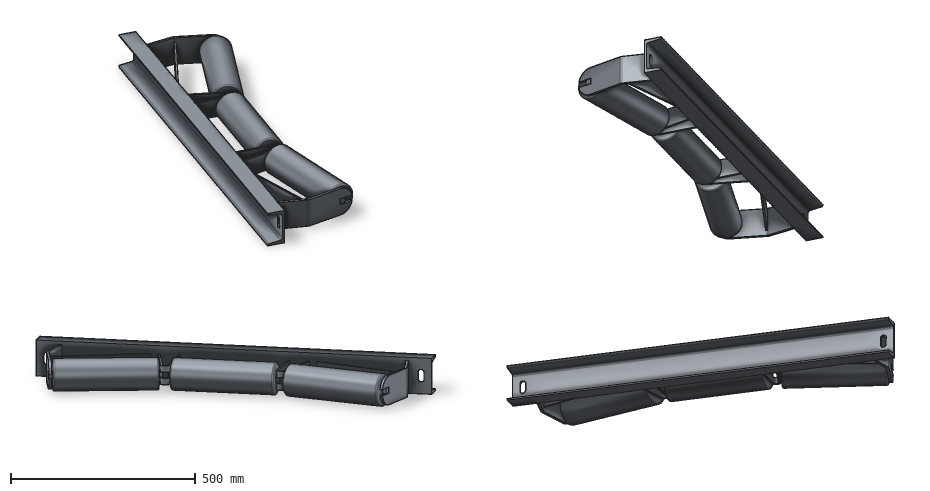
import cadquery as cq
import math


BEAM_LENGTH = 1100.0
BEAM_HEIGHT = 100.0
BEAM_DEPTH = 50.0
WEB_THICKNESS = 6.0
FLANGE_ROOT = 11.0
FLANGE_TIP = 5.0
ROOT_FILLET = 7.0
TIP_FILLET = 4.0
SLOT_X = 520.0
SLOT_LENGTH = 35.0
SLOT_WIDTH = 16.0

ROLLER_DIAMETER = 89.0
ROLLER_LENGTH = 288.0
TROUGH_ANGLE = 15.0
CENTRE_ROLLER_Y = 117.0
WING_ROLLER_X = 321.0
WING_ROLLER_Y = 161.0
SHAFT_SIZE = 16.0
DRUM_FILLET = 4.0
END_GAP = 4.0

OUTER_WIDTH = 81.0
INNER_WIDTH = 53.0
OUTER_PLATE = 8.0
INNER_PLATE = 6.0
INNER_TOP_Y = 143.0
OUTER_BEND_Y = 90.0
OUTER_LEAN = 10.0
BEND_RADIUS = 7.0
BRACE_WIDTH = 53.0
BRACE_PLATE = 5.0
BRACE_ANGLE = 20.0

SHAFT_LENGTH = ROLLER_LENGTH + 2 * (END_GAP + INNER_PLATE)
FACE_OFFSET = ROLLER_LENGTH / 2 + END_GAP
COS_T = math.cos(math.radians(TROUGH_ANGLE))
SIN_T = math.sin(math.radians(TROUGH_ANGLE))


def wing_point(along, across):
    """Point in the left wing roller's frame: along its axis towards the middle, and across, away from the beam."""
    x = -WING_ROLLER_X + along * COS_T + across * SIN_T
    y = WING_ROLLER_Y - along * SIN_T + across * COS_T
    return x, y


def wing_face_foot(along):
    """Where the plane square to the wing roller axis at this distance meets the beam face."""
    across = (along * SIN_T - WING_ROLLER_Y) / COS_T
    return wing_point(along, across)


def to_wing(body):
    return body.rotate((0, 0, 0), (0, 0, 1), -TROUGH_ANGLE).translate((-WING_ROLLER_X, WING_ROLLER_Y, 0))


def plate(outline, width):
    return outline.close().extrude(width / 2, both=True)


def make_tip_envelope(width):
    """Bracket silhouette along the axis of a roller at the origin: a full round centred on the slot floor."""
    half_width = width / 2
    floor = -SHAFT_SIZE / 2
    outline = (
        cq.Workplane("YZ")
        .moveTo(-BEAM_LENGTH, -half_width)
        .lineTo(floor, -half_width)
        .threePointArc((floor + half_width, 0), (floor, half_width))
        .lineTo(-BEAM_LENGTH, half_width)
    )
    return plate(outline, BEAM_LENGTH)


def make_beam():
    half = BEAM_HEIGHT / 2
    outline = (
        cq.Workplane("YZ")
        .moveTo(0, -half)
        .lineTo(0, half)
        .lineTo(-BEAM_DEPTH, half)
        .lineTo(-BEAM_DEPTH, half - FLANGE_TIP)
        .lineTo(-WEB_THICKNESS, half - FLANGE_ROOT)
        .lineTo(-WEB_THICKNESS, FLANGE_ROOT - half)
        .lineTo(-BEAM_DEPTH, FLANGE_TIP - half)
        .lineTo(-BEAM_DEPTH, -half)
    )
    beam = plate(outline, BEAM_LENGTH)
    for sign in (-1, 1):
        root = cq.selectors.NearestToPointSelector((0, -WEB_THICKNESS, sign * (half - FLANGE_ROOT)))
        beam = beam.edges("|X").edges(root).fillet(ROOT_FILLET)
        tip = cq.selectors.NearestToPointSelector((0, -BEAM_DEPTH, sign * (half - FLANGE_TIP)))
        beam = beam.edges("|X").edges(tip).fillet(TIP_FILLET)
    slots = (
        cq.Workplane("XZ")
        .pushPoints([(-SLOT_X, 0), (SLOT_X, 0)])
        .slot2D(SLOT_LENGTH, SLOT_WIDTH, 90)
        .extrude(BEAM_DEPTH)
    )
    return beam.cut(slots)


def make_roller():
    drum = (
        cq.Workplane("YZ", origin=(-ROLLER_LENGTH / 2, 0, 0))
        .circle(ROLLER_DIAMETER / 2)
        .extrude(ROLLER_LENGTH)
        .edges()
        .fillet(DRUM_FILLET)
    )
    shaft = cq.Workplane("XY").box(SHAFT_LENGTH, SHAFT_SIZE, SHAFT_SIZE)
    return drum.union(shaft)


def make_shaft_slot(start, length):
    """Slot cutter for a roller at the origin: closed under the shaft and open away from the beam."""
    return cq.Workplane("XY").box(length, ROLLER_DIAMETER, SHAFT_SIZE, centered=(False, False, True)).translate(
        (start, -SHAFT_SIZE / 2, 0)
    )


def make_outer_bracket():
    outer_along = -FACE_OFFSET - OUTER_PLATE
    bend_across = (OUTER_BEND_Y - WING_ROLLER_Y + outer_along * SIN_T) / COS_T
    bend = wing_point(outer_along, bend_across)
    half_turn = math.radians((TROUGH_ANGLE + OUTER_LEAN) / 2)
    inner_bend = wing_point(-FACE_OFFSET, bend_across + OUTER_PLATE * math.tan(half_turn))
    lean = math.tan(math.radians(OUTER_LEAN))
    outline = (
        cq.Workplane("XY")
        .moveTo(bend[0] + bend[1] * lean, 0)
        .lineTo(*bend)
        .lineTo(*wing_point(outer_along, ROLLER_DIAMETER))
        .lineTo(*wing_point(-FACE_OFFSET, ROLLER_DIAMETER))
        .lineTo(*inner_bend)
        .lineTo(inner_bend[0] + inner_bend[1] * lean, 0)
    )
    bracket = plate(outline, OUTER_WIDTH)
    inside = cq.selectors.NearestToPointSelector((*inner_bend, 0))
    bracket = bracket.edges("|Z").edges(inside).fillet(BEND_RADIUS)
    outside = cq.selectors.NearestToPointSelector((*bend, 0))
    bracket = bracket.edges("|Z").edges(outside).fillet(BEND_RADIUS + OUTER_PLATE)
    bracket = bracket.intersect(to_wing(make_tip_envelope(OUTER_WIDTH)))
    return bracket.cut(to_wing(make_shaft_slot(outer_along, OUTER_PLATE))), inner_bend


def make_inner_bracket():
    face_x = -FACE_OFFSET
    reach = (face_x + WING_ROLLER_X) * COS_T + (WING_ROLLER_Y - INNER_TOP_Y) * SIN_T
    radius = (reach - FACE_OFFSET) / (1 + COS_T - SIN_T)
    inner_radius = radius - INNER_PLATE
    centre = cq.Vector(face_x - radius, INNER_TOP_Y - radius)
    toward_wing = cq.Vector(-COS_T, SIN_T)
    up = cq.Vector(0, 1)
    side = cq.Vector(1, 0)
    outline = (
        cq.Workplane("XY")
        .moveTo(face_x, 0)
        .lineTo(face_x, centre.y)
        .threePointArc(centre + up * radius, centre + toward_wing * radius)
        .lineTo(*wing_face_foot(FACE_OFFSET))
        .lineTo(*wing_face_foot(FACE_OFFSET + INNER_PLATE))
        .lineTo(*(centre + toward_wing * inner_radius).toTuple()[:2])
        .threePointArc(centre + up * inner_radius, centre + side * inner_radius)
        .lineTo(face_x - INNER_PLATE, 0)
    )
    bracket = plate(outline, INNER_WIDTH)
    centre_slot = make_shaft_slot(face_x - radius, radius).translate((0, CENTRE_ROLLER_Y, 0))
    wing_slot = to_wing(make_shaft_slot(FACE_OFFSET, radius))
    return bracket.cut(centre_slot).cut(wing_slot)


def make_brace(corner):
    """Sloping plate that starts at the inside of the bracket bend and ends flat on the beam."""
    slope = math.tan(math.radians(BRACE_ANGLE))
    upper_lean = math.tan(math.radians(TROUGH_ANGLE))
    rise = BRACE_PLATE / math.cos(math.radians(BRACE_ANGLE)) / (1 + slope * upper_lean)
    x, y = corner
    top_x = x + rise * upper_lean
    top_y = y + rise
    outline = (
        cq.Workplane("XY")
        .moveTo(x, y)
        .lineTo(top_x, top_y)
        .lineTo(top_x + top_y / slope, 0)
        .lineTo(x + y / slope, 0)
    )
    return plate(outline, BRACE_WIDTH)


beam = make_beam()
centre_roller = make_roller().translate((0, CENTRE_ROLLER_Y, 0))
wing_roller = to_wing(make_roller())
outer_bracket, corner = make_outer_bracket()
inner_bracket = make_inner_bracket()
brace = make_brace(corner)
bodies = [beam.val(), centre_roller.val()]
for left in (wing_roller, outer_bracket, inner_bracket, brace):
    bodies += [left.val(), left.mirror("YZ").val()]
result = cq.Compound.makeCompound(bodies)